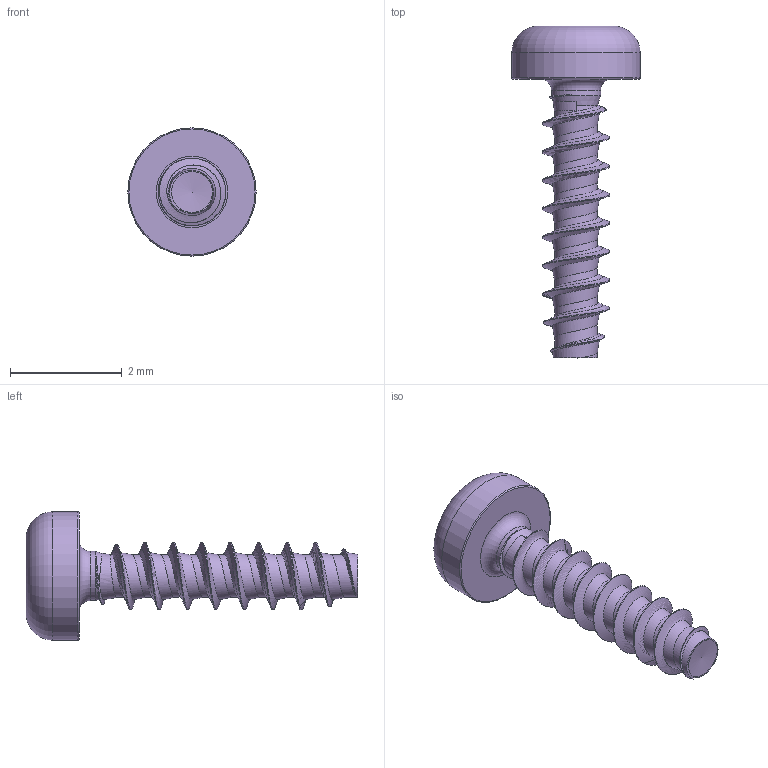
import math

import cadquery as cq


head_radius = 1.15
head_height = 0.95
head_round = 0.48
seat_edge_round = 0.02

shank_length = 5.0
neck_radius = 0.44
neck_end_depth = 0.30
neck_fillet = 0.20
core_radius = 0.384
core_start_depth = 0.48
tip_dish_radius = 0.365
tip_dish_depth = 0.03

pitch = 0.51
first_crest_depth = 0.67
crest_radius = 0.605
crest_half_width = 0.008
kink_radius = 0.477
kink_offset = 0.055
head_foot_offset = 0.113
ramp_radius = 0.422
faded_crest_radius = 0.43
tip_flank_slope = 0.34
ramp_end_offset = 0.32
root_overlap = 0.008
buried_radius = 0.30

start_turn = -1.0
full_turn = 0.25
fade_turn = 7.1
end_turn = 8.4
flat_turn = -0.5
start_depth = 0.29
points_per_turn = 16


def blend(start, end, fraction):
    """Value between start and end, held at either end outside the 0 to 1 range."""
    return start + (end - start) * min(max(fraction, 0.0), 1.0)


def crest_radius_at(turn):
    """Full crest radius, fading to the neck at the head and almost to the root ramp at the tip."""
    if turn < full_turn:
        return blend(neck_radius, crest_radius, (turn - start_turn) / (full_turn - start_turn))
    return blend(crest_radius, faded_crest_radius, (turn - fade_turn) / (end_turn - fade_turn))


def crest_depth_at(turn):
    """Constant pitch, except for the first half turn, which levels out below the neck."""
    if turn >= flat_turn:
        return first_crest_depth + pitch * turn
    flat_depth = first_crest_depth + pitch * flat_turn
    fraction = (flat_turn - turn) / (flat_turn - start_turn)
    slope_run = pitch * (flat_turn - start_turn)
    drop = flat_depth - start_depth
    return flat_depth - slope_run * fraction + (slope_run - drop) * fraction**2


def thread_section(turn):
    """Corners of the thread section as (axial offset towards the tip, radius)."""
    crest = crest_radius_at(turn)
    size = (crest - core_radius) / (crest_radius - core_radius)
    foot_offset = -head_foot_offset * size
    kink = blend(core_radius, kink_radius, size)
    tip_foot_offset = crest_half_width + tip_flank_slope * (crest - ramp_radius)
    return [
        (foot_offset, buried_radius),
        (foot_offset, core_radius - root_overlap),
        (-kink_offset * size, kink),
        (-crest_half_width * size, crest),
        (crest_half_width, crest),
        (tip_foot_offset, ramp_radius),
        (ramp_end_offset, core_radius - root_overlap),
        (ramp_end_offset, buried_radius),
    ]


def corner_point(turn, corner):
    """Position of a section corner; turn 0 is on the +Z side and the helix passes -X first."""
    offset, radius = thread_section(turn)[corner]
    angle = 2 * math.pi * turn
    depth = crest_depth_at(turn) + offset
    return cq.Vector(-radius * math.sin(angle), -depth, radius * math.cos(angle))


def corner_curve(corner):
    """Spiral followed by one corner of the thread section."""
    steps = round((end_turn - start_turn) * points_per_turn)
    turns = [blend(start_turn, end_turn, step / steps) for step in range(steps + 1)]
    return cq.Edge.makeSpline([corner_point(turn, corner) for turn in turns])


def end_cap(turn):
    """Flat face that closes the thread at one end."""
    corners = [corner_point(turn, corner) for corner in range(len(thread_section(turn)))]
    return cq.Face.makeFromWires(cq.Wire.makePolygon(corners, close=True))


def make_thread():
    """Solid bounded by ruled strips between neighbouring corner spirals and two end caps."""
    curves = [corner_curve(corner) for corner in range(len(thread_section(start_turn)))]
    following = curves[1:] + curves[:1]
    faces = [cq.Face.makeRuledSurface(first, second) for first, second in zip(curves, following)]
    faces += [end_cap(start_turn), end_cap(end_turn)]
    thread = cq.Solid.makeSolid(cq.Shell.makeShell(faces))
    return cq.Workplane(thread.fix())


def make_head():
    head = cq.Workplane("XZ").circle(head_radius).extrude(-head_height)
    head = head.faces(">Y").edges().fillet(head_round)
    return head.faces("<Y").edges().fillet(seat_edge_round)


def make_shank():
    """Neck with its fillet under the head, a short cone and the straight core."""
    fillet_angle = math.radians(45)
    fillet_middle = neck_radius + neck_fillet * (1 - math.cos(fillet_angle))
    fillet_middle_depth = neck_fillet * (1 - math.sin(fillet_angle))
    return (
        cq.Workplane("XY")
        .lineTo(neck_radius + neck_fillet, 0)
        .threePointArc((fillet_middle, -fillet_middle_depth), (neck_radius, -neck_fillet))
        .lineTo(neck_radius, -neck_end_depth)
        .lineTo(core_radius, -core_start_depth)
        .lineTo(core_radius, -shank_length)
        .lineTo(0, -shank_length)
        .close()
        .revolve(360, (0, 0, 0), (0, 1, 0))
    )


def trim_at_tip(screw):
    """Cut off the thread that runs past the tip and dish the tip face with a shallow cone."""
    waste = (
        cq.Workplane("XY", origin=(0, -shank_length, 0))
        .moveTo(0, tip_dish_depth)
        .lineTo(tip_dish_radius, 0)
        .lineTo(head_radius, 0)
        .lineTo(head_radius, -pitch)
        .lineTo(0, -pitch)
        .close()
        .revolve(360, (0, 0, 0), (0, 1, 0))
    )
    return screw.cut(waste)


screw = make_shank().union(make_thread()).union(make_head())
result = trim_at_tip(screw)